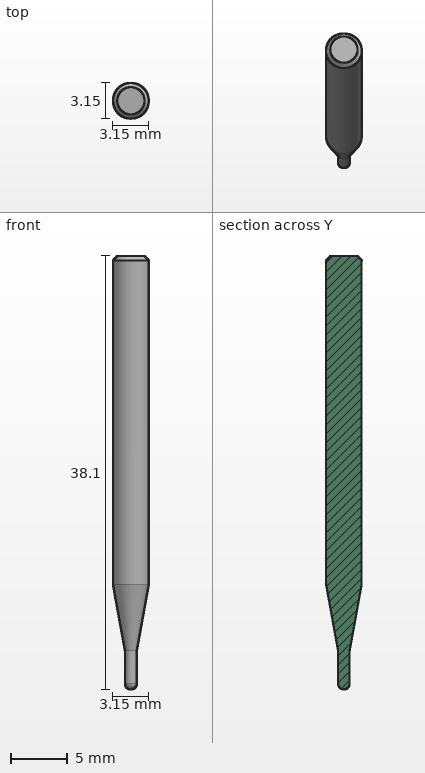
import cadquery as cq
import math

total_length = 38.1
shank_diameter = 3.15
shank_chamfer = 0.4

neck_diameter = 1.05
neck_top = 3.43
shank_bottom = 9.22

shank_radius = shank_diameter / 2
neck_radius = neck_diameter / 2

arc_mid_x = neck_radius * math.sin(math.pi / 4)
arc_mid_z = neck_radius * (1 - math.cos(math.pi / 4))

profile = (
    cq.Workplane("XZ")
    .moveTo(0, 0)
    .threePointArc((arc_mid_x, arc_mid_z), (neck_radius, neck_radius))
    .lineTo(neck_radius, neck_top)
    .lineTo(shank_radius, shank_bottom)
    .lineTo(shank_radius, total_length - shank_chamfer)
    .lineTo(shank_radius - shank_chamfer, total_length)
    .lineTo(0, total_length)
    .close()
)
result = profile.revolve(360, (0, 0, 0), (0, 1, 0))